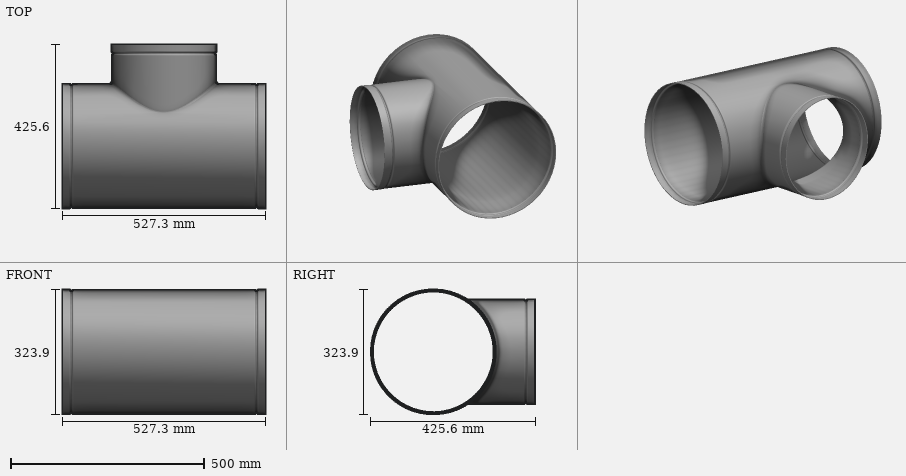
import cadquery as cq
import math

run_length = 527.3
branch_reach = 263.655
wall = 2.032

run_lip_radius = 323.85 / 2
run_body_radius = 322.73 / 2
run_groove_radius = 315.98 / 2

branch_lip_radius = 273.05 / 2
branch_body_radius = 271.53 / 2
branch_groove_radius = 265.18 / 2

lip_length = 18.1
groove_width = 11.4
bend_inner_radius = 1.5
slope_angle = math.radians(65)

junction_fillet = 6.0


def half_rod(length, lip_radius, body_radius, groove_radius, inset):
    """Solid of revolution about X from the origin to a grooved mouth at x = length.

    Each side of the groove is a convex bend, a short straight slope and a concave bend.
    The inset shrinks the skin evenly, so the sheet keeps its thickness around the bends.
    """
    convex = bend_inner_radius + wall - inset
    concave = bend_inner_radius + inset
    floor = groove_radius - inset
    sine = math.sin(slope_angle)
    cosine = math.cos(slope_angle)
    half_sine = math.sin(slope_angle / 2)
    half_cosine = math.cos(slope_angle / 2)

    def groove_side(edge, radius, toward_floor):
        """Six points from the groove edge down to the floor; toward_floor is the X direction."""
        top = radius - inset
        bends_drop = (convex + concave) * (1 - cosine)
        slope_run = (top - floor - bends_drop) / math.tan(slope_angle)
        floor_x = edge + toward_floor * ((convex + concave) * sine + slope_run)
        return [
            (edge, top),
            (edge + toward_floor * convex * half_sine, top - convex * (1 - half_cosine)),
            (edge + toward_floor * convex * sine, top - convex * (1 - cosine)),
            (floor_x - toward_floor * concave * sine, floor + concave * (1 - cosine)),
            (floor_x - toward_floor * concave * half_sine, floor + concave * (1 - half_cosine)),
            (floor_x, floor),
        ]

    lip_edge = length - lip_length
    lip_side = groove_side(lip_edge, lip_radius, -1)
    body_side = groove_side(lip_edge - groove_width, body_radius, 1)
    body_side.reverse()

    sketch = cq.Workplane("XY").moveTo(0, 0).lineTo(length, 0).lineTo(length, lip_radius - inset)
    for side in (lip_side, body_side):
        start, first_mid, slope_start, slope_end, second_mid, end = side
        sketch = sketch.lineTo(*start).threePointArc(first_mid, slope_start)
        sketch = sketch.lineTo(*slope_end).threePointArc(second_mid, end)
    profile = sketch.lineTo(0, body_radius - inset).close()
    return profile.revolve(360, (0, 0, 0), (1, 0, 0))


def tee_form(inset):
    """Solid tee bounded by the pipe skin, inset from the outside, with a blended junction."""
    run_half = half_rod(
        run_length / 2, run_lip_radius, run_body_radius, run_groove_radius, inset
    )
    run = run_half.union(run_half.rotate((0, 0, 0), (0, 1, 0), 180))
    branch = half_rod(
        branch_reach, branch_lip_radius, branch_body_radius, branch_groove_radius, inset
    )

    run = run.rotate((0, 0, 0), (1, 0, 0), 180)
    branch = branch.rotate((0, 0, 0), (1, 0, 0), 90).rotate((0, 0, 0), (0, 0, 1), 90)

    return run.union(branch).edges("%BSPLINE").fillet(junction_fillet + inset)


result = tee_form(0).cut(tee_form(wall))